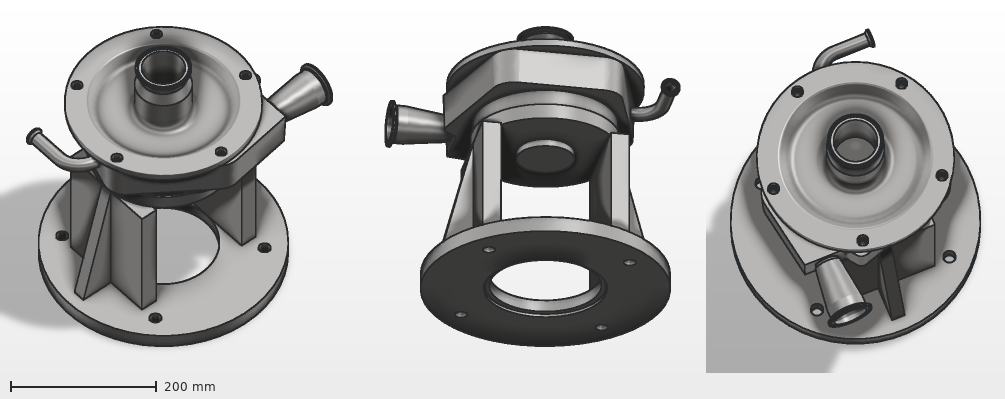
import cadquery as cq
import math

base_thickness = 22.0
pedestal_bottom = 210.5
pedestal_step = 232.0
casing_bottom = 255.3
casing_top = 305.5
cover_top = 316.0
inlet_top = 385.0
shaft_bottom = 200.2

base_diameter = 343.0
base_radius = base_diameter / 2
base_bore_radius = 77.0
base_hole_radius = 8.5
base_hole_offset = 98.5
base_recess_radius = 84.7
base_recess_depth = 4.5

leg_width = 150.0
leg_inner_y = base_bore_radius
leg_outer_y = 102.8
rib_width = 19.0
rib_foot_y = 152.5

lower_ring_radius = leg_outer_y
upper_ring_radius = 99.7
shaft_radius = 39.5

casing_sides = 5
casing_apothem = 115.5
casing_corner_radius = 34.0
outlet_side_apothem = 118.5
outlet_side_corner_radius = 13.5
casing_draft = 2.0
outlet_corner_x = 124.0
outlet_face_y = 115.0

cover_radius = 135.5
cover_edge_radius = 0.8
recess_rim_radius = 107.0
recess_wall_top_radius = 103.0
recess_wall_foot_radius = 94.0
recess_floor_radius = 83.0
recess_wall_angle = math.radians(45)
neck_blend_radius = 14.2

screw_count = 5
screw_circle_radius = 122.0
screw_hole_radius = 7.7
screw_core_radius = 4.5
screw_core_chamfer = 1.5
screw_core_depth = 7.7

pipe_wall = 2.5
inlet_neck_radius = shaft_radius
inlet_pipe_radius = 32.5
inlet_rim_radius = 38.5
inlet_cone_bottom = 350.7
inlet_cone_top = 366.5

discharge_x = 91.2
discharge_z = 281.5
overall_depth = 371.5
discharge_end_y = overall_depth - base_radius
discharge_rim_radius = 32.0
discharge_pipe_radius = 26.0
discharge_cone_end_y = 179.5
discharge_cone_start_y = 119.5
discharge_small_radius = 18.5
discharge_root_radius = 16.0
discharge_root_overlap = 4.5

flush_z = 282.2
flush_y = -158.0
flush_end_x = -89.7
flush_bend_radius = 35.0
flush_pipe_radius = 9.2
flush_pipe_wall = 1.5
flush_rim_radius = 12.7
flush_root_y = -casing_apothem

ferrule_rim = 2.7
ferrule_shoulder = 4.5
ferrule_height = 6.5
ferrule_shoulder_step = 1.5
groove_width = 1.5
groove_depth = 1.0


def cylinder(radius, bottom, top):
    return cq.Workplane("XY").workplane(offset=bottom).circle(radius).extrude(top - bottom)


def revolve_about_local_y(plane, points):
    return cq.Workplane(plane).polyline(points).close().revolve(360, (0, 0), (0, 1))


def ferrule_outline(pipe_radius, rim_radius, end):
    """Points (radius, axial place) from the pipe up to the centre of the clamp face."""
    return [
        (pipe_radius, end - ferrule_height),
        (pipe_radius + ferrule_shoulder_step, end - ferrule_shoulder),
        (rim_radius, end - ferrule_rim),
        (rim_radius, end),
        (0, end),
    ]


def gasket_groove(plane, pipe_radius, rim_radius, end):
    middle = (pipe_radius + rim_radius) / 2
    inner = middle - groove_width / 2
    outer = middle + groove_width / 2
    floor = end - groove_depth
    return revolve_about_local_y(plane, [(inner, floor), (outer, floor), (outer, end), (inner, end)])


def make_base():
    hole_span = 2 * base_hole_offset
    return (
        cylinder(base_radius, 0, base_thickness)
        .faces(">Z").workplane().circle(base_bore_radius).cutThruAll()
        .faces(">Z").workplane().rect(hole_span, hole_span, forConstruction=True)
        .vertices().circle(base_hole_radius).cutThruAll()
        .cut(cylinder(base_recess_radius, 0, base_recess_depth))
    )


def make_leg():
    """Upright slab with a triangular gusset rib, on the +Y side."""
    height = pedestal_bottom - base_thickness
    slab = (
        cq.Workplane("XY")
        .box(leg_width, leg_outer_y - leg_inner_y, height, centered=(True, False, False))
        .translate((0, leg_inner_y, base_thickness))
    )
    rib = (
        cq.Workplane("YZ")
        .moveTo(leg_outer_y, base_thickness)
        .lineTo(rib_foot_y, base_thickness)
        .lineTo(leg_outer_y, pedestal_bottom)
        .close()
        .extrude(rib_width / 2, both=True)
    )
    return slab.union(rib)


def make_casing():
    side_angle = 2 * math.pi / casing_sides
    corner_distance = casing_apothem / math.cos(side_angle / 2)

    def corner(number):
        angle = number * side_angle
        return (corner_distance * math.cos(angle), corner_distance * math.sin(angle))

    side = side_angle / 2
    outlet_root_x = (outlet_side_apothem - outlet_face_y * math.sin(side)) / math.cos(side)

    neighbour = side + side_angle
    slide = (outlet_side_apothem - casing_apothem) / math.sin(side_angle)
    regular_x, regular_y = corner(1)
    outlet_side_corner = (
        regular_x + slide * math.sin(neighbour),
        regular_y - slide * math.cos(neighbour),
    )
    outline = [
        corner(0),
        (outlet_corner_x, outlet_face_y),
        (outlet_root_x, outlet_face_y),
        outlet_side_corner,
        corner(2),
        corner(3),
        corner(4),
    ]
    height = casing_top - casing_bottom
    prism = cq.Workplane("XY").polyline(outline).close().extrude(height)

    def upright_edge(point):
        return cq.selectors.NearestToPointSelector((point[0], point[1], height / 2))

    for number in (0, 2, 3, 4):
        prism = prism.edges(upright_edge(corner(number))).fillet(casing_corner_radius)
    prism = prism.edges(upright_edge(outlet_side_corner)).fillet(outlet_side_corner_radius)

    top_outline = prism.faces(">Z").wires().val().translate(cq.Vector(0, 0, casing_bottom))
    solid = cq.Solid.extrudeLinear(top_outline, [], cq.Vector(0, 0, -height), casing_draft)
    return cq.Workplane("XY").add(solid)


def make_cover_recess():
    """Ring-shaped dish around the inlet neck: rounded rim, conical wall, blended floor."""
    sine = math.sin(recess_wall_angle)
    cosine = math.cos(recess_wall_angle)
    half_sine = math.sin(recess_wall_angle / 2)
    half_cosine = math.cos(recess_wall_angle / 2)
    rim_round = (recess_rim_radius - recess_wall_top_radius) / sine
    floor_round = (recess_wall_foot_radius - recess_floor_radius) / sine
    wall_width = recess_wall_top_radius - recess_wall_foot_radius
    wall_top = cover_top - rim_round * (1 - cosine)
    wall_foot = wall_top - wall_width * math.tan(recess_wall_angle)
    floor = wall_foot - floor_round * (1 - cosine)
    rim_middle = (recess_rim_radius - rim_round * half_sine, cover_top - rim_round * (1 - half_cosine))
    floor_middle = (recess_floor_radius + floor_round * half_sine, floor + floor_round * (1 - half_cosine))
    blend_offset = neck_blend_radius * (1 - math.sqrt(0.5))
    blend_middle = (inlet_neck_radius + blend_offset, floor + blend_offset)
    return (
        cq.Workplane("XZ")
        .moveTo(recess_rim_radius, cover_top)
        .threePointArc(rim_middle, (recess_wall_top_radius, wall_top))
        .lineTo(recess_wall_foot_radius, wall_foot)
        .threePointArc(floor_middle, (recess_floor_radius, floor))
        .lineTo(inlet_neck_radius + neck_blend_radius, floor)
        .threePointArc(blend_middle, (inlet_neck_radius, floor + neck_blend_radius))
        .lineTo(inlet_neck_radius, cover_top)
        .close()
        .revolve(360, (0, 0), (0, 1))
    )


def make_cover():
    cover = cylinder(cover_radius, casing_top, cover_top)
    return cover.faces(">Z").edges().fillet(cover_edge_radius)


def make_screw_hole():
    """Clearance hole through the cover, then a chamfered blind core hole with a drill tip."""
    core_bottom = casing_top - screw_core_depth
    return revolve_about_local_y("XZ", [
        (0, cover_top),
        (screw_hole_radius, cover_top),
        (screw_hole_radius, casing_top),
        (screw_core_radius + screw_core_chamfer, casing_top),
        (screw_core_radius, casing_top - screw_core_chamfer),
        (screw_core_radius, core_bottom),
        (0, core_bottom - screw_core_radius / 2),
    ]).translate((screw_circle_radius, 0, 0))


def make_inlet():
    body = revolve_about_local_y("XZ", [
        (0, casing_top),
        (inlet_neck_radius, casing_top),
        (inlet_neck_radius, inlet_cone_bottom),
        (inlet_pipe_radius, inlet_cone_top),
        *ferrule_outline(inlet_pipe_radius, inlet_rim_radius, inlet_top),
    ])
    return body.cut(gasket_groove("XZ", inlet_pipe_radius, inlet_rim_radius, inlet_top))


discharge_plane = cq.Plane(origin=(discharge_x, 0, discharge_z))


def make_discharge():
    root_y = outlet_face_y - discharge_root_overlap
    body = revolve_about_local_y(discharge_plane, [
        (0, root_y),
        (discharge_root_radius, root_y),
        (discharge_root_radius, outlet_face_y),
        (discharge_small_radius, discharge_cone_start_y),
        (discharge_pipe_radius, discharge_cone_end_y),
        *ferrule_outline(discharge_pipe_radius, discharge_rim_radius, discharge_end_y),
    ])
    return body.cut(
        gasket_groove(discharge_plane, discharge_pipe_radius, discharge_rim_radius, discharge_end_y)
    )


def make_discharge_bore():
    large_radius = discharge_pipe_radius - pipe_wall
    small_radius = discharge_root_radius - pipe_wall
    return revolve_about_local_y(discharge_plane, [
        (0, outlet_face_y),
        (small_radius, outlet_face_y),
        (large_radius, discharge_cone_end_y),
        (large_radius, discharge_end_y),
        (0, discharge_end_y),
    ])


def flush_sweep(radius):
    """Round bar along the flush pipe's centre line, from its free end into the casing."""
    bend_offset = flush_bend_radius * (1 - math.sqrt(0.5))
    path = (
        cq.Workplane("XY", origin=(0, 0, flush_z))
        .moveTo(flush_end_x, flush_y)
        .lineTo(-flush_bend_radius, flush_y)
        .threePointArc((-bend_offset, flush_y + bend_offset), (0, flush_y + flush_bend_radius))
        .lineTo(0, flush_root_y)
    )
    return cq.Workplane("YZ", origin=(flush_end_x, flush_y, flush_z)).circle(radius).sweep(path)


def make_flush_pipe():
    plane = cq.Plane(origin=(0, flush_y, flush_z), xDir=(0, 1, 0), normal=(0, 0, 1))
    end = -flush_end_x
    ferrule = revolve_about_local_y(plane, [
        (0, end - ferrule_height),
        *ferrule_outline(flush_pipe_radius, flush_rim_radius, end),
    ])
    pipe = flush_sweep(flush_pipe_radius).union(ferrule)
    return pipe.cut(gasket_groove(plane, flush_pipe_radius, flush_rim_radius, end))


leg = make_leg()
result = make_base().union(leg).union(leg.mirror("XZ"))
result = result.union(cylinder(lower_ring_radius, pedestal_bottom, pedestal_step))
result = result.union(cylinder(upper_ring_radius, pedestal_step, casing_bottom))
result = result.union(cylinder(shaft_radius, shaft_bottom, pedestal_bottom))
result = result.union(make_casing()).union(make_cover()).cut(make_cover_recess())
result = result.union(make_inlet()).union(make_discharge()).union(make_flush_pipe())
result = result.cut(cylinder(inlet_pipe_radius - pipe_wall, casing_top, inlet_top))
result = result.cut(make_discharge_bore())
result = result.cut(flush_sweep(flush_pipe_radius - flush_pipe_wall))

screw_hole = make_screw_hole()
for index in range(screw_count):
    turned_hole = screw_hole.rotate((0, 0, 0), (0, 0, 1), index * 360 / screw_count)
    result = result.cut(turned_hole)